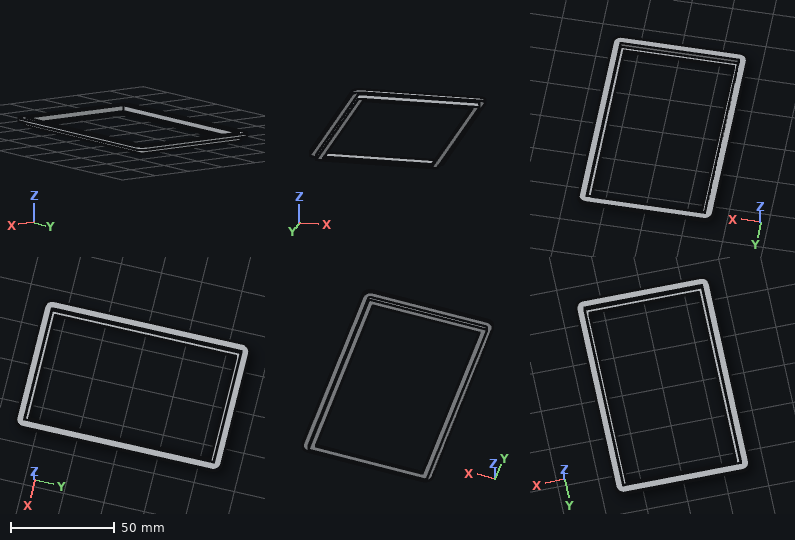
import cadquery as cq

length = 102.0
width = 66.0
height = 4.0

flange_thickness = 1.6
flange_overhang = 3.0
wall_thickness = 1.0
ledge_width = 2.0
ledge_thickness = 1.0
flange_corner_radius = 4.0
wall_corner_radius = 1.0

recess_inset = flange_overhang + wall_thickness
opening_inset = recess_inset + ledge_width


def inset_block(inset, bottom, top):
    """Rectangular block set in from the flange edge, spanning bottom to top."""
    return (
        cq.Workplane("XY", origin=(0, 0, bottom))
        .rect(width - 2 * inset, length - 2 * inset)
        .extrude(top - bottom)
    )


flange = inset_block(0, height - flange_thickness, height).edges("|Z").fillet(flange_corner_radius)
wall = inset_block(flange_overhang, 0, height).edges("|Z").fillet(wall_corner_radius)

recess = inset_block(recess_inset, ledge_thickness, height)
opening = inset_block(opening_inset, 0, height)

result = flange.union(wall).cut(recess).cut(opening)